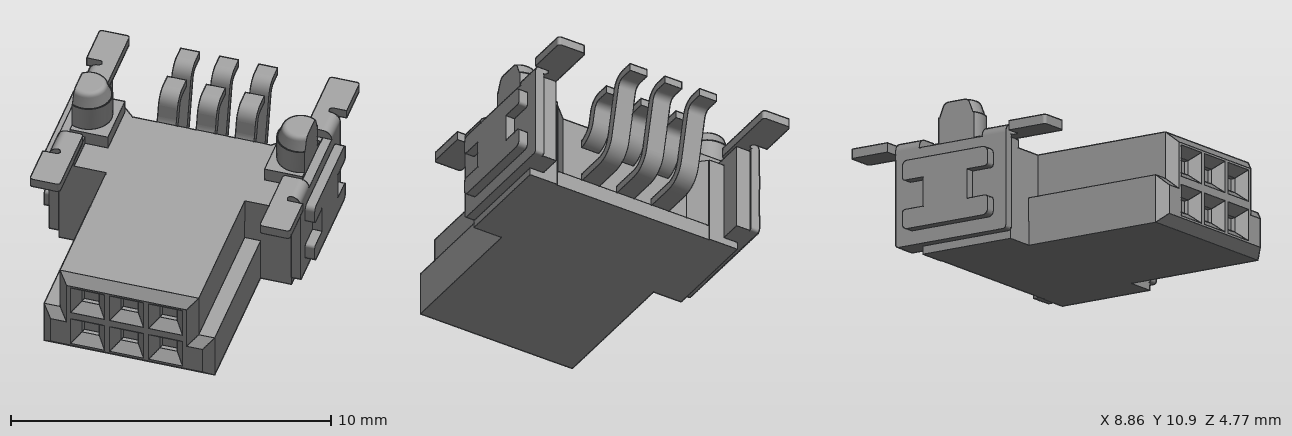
import cadquery as cq
import math


plug_half_width = 2.79
plug_top_half_width = 2.27
plug_shoulder = 1.54
plug_chamfer = 0.3

body_half_width = 3.8
body_top = 3.04
body_front = 5.13
body_rear = 8.47
front_draft = 0.03
side_rail_inner = 3.31
side_rail_top = 3.3
ear_rear = 9.22
rear_setback = 0.03

contact_pitch = 1.28
lower_row_height = 0.88
row_heights = (lower_row_height, lower_row_height + contact_pitch)
column_places = (-contact_pitch, 0, contact_pitch)
mouth_size = (1.11, 1.01)
throat_size = (0.57, 0.47)
socket_size = (0.48, 0.4)
funnel_depth = 0.33
throat_depth = 0.11

recess_wall = 7.95
recess_floor = 0.55
trough_rear = 8.32
trough_floor = 0.3

peg_top = 4.77
peg_centre = (3.47, 7.19)
peg_radius = 0.75
peg_shoulder = 4.32
peg_cone_base_radius = 0.72
peg_cone_end = 4.65
peg_cone_end_radius = 0.6
peg_tip_radius = 0.45
seat_inner = 2.56
seat_length = 1.79
seat_top = 3.49

plate_thickness = 0.3
plate_outer = body_half_width + plate_thickness
plate_centre = 7.19
plate_length = 4.2
plate_bottom = 0.26
plate_corner_radius = 0.11
tab_top = 3.67
tab_bottom = tab_top - plate_thickness
tab_inner = 3.27
tab_outer = 4.25
tab_span = 7.41
tab_gap = 2.4
tab_corner_radius = 0.1
notch_width = 0.22
notch_end = 3.72

pad_outer = 4.43
pad_length = 3.25
pad_bottom = 0.72
pad_top = 2.93
pad_web_length = 1.68
pad_flange = 0.63
pad_outer_radius = 0.19
pad_inner_radius = 0.11

lead_width = 0.62
lead_thickness = 0.26
lead_lean = math.radians(13.3)
lead_foot_length = 0.43
lead_foot_radius = 0.4
lead_entry_radius = 0.68
lead_entry_rise = 0.16
rear_row_tip = 10.82
front_row_tip = 9.42
lead_buried_length = 0.33
lead_end = recess_wall - lead_buried_length


def box(x_range, y_range, z_range):
    """Box between the given limits."""
    size = [high - low for low, high in (x_range, y_range, z_range)]
    corner = (x_range[0], y_range[0], z_range[0])
    return cq.Workplane("XY").box(*size, centered=False).translate(corner)


def make_plug():
    """Stepped plug, bevelled all around its front face."""
    outline = [
        (-plug_half_width, 0),
        (plug_half_width, 0),
        (plug_half_width, plug_shoulder),
        (plug_top_half_width, plug_shoulder),
        (plug_top_half_width, body_top),
        (-plug_top_half_width, body_top),
        (-plug_top_half_width, plug_shoulder),
        (-plug_half_width, plug_shoulder),
    ]
    plug = cq.Workplane("XZ").polyline(outline).close().extrude(-recess_wall)
    return plug.faces("<Y").chamfer(plug_chamfer)


def make_housing():
    """Housing block with raised sides, rear ears and a slightly drafted front."""
    outline = [
        (-body_half_width, 0),
        (body_half_width, 0),
        (body_half_width, side_rail_top),
        (side_rail_inner, side_rail_top),
        (side_rail_inner, body_top),
        (-side_rail_inner, body_top),
        (-side_rail_inner, side_rail_top),
        (-body_half_width, side_rail_top),
    ]
    length = body_rear - body_front
    block = cq.Workplane("XZ", origin=(0, body_front, 0)).polyline(outline).close().extrude(-length)
    draft = (
        cq.Workplane("YZ")
        .polyline([
            (body_front, 0),
            (body_front + front_draft, side_rail_top),
            (body_front, side_rail_top),
        ])
        .close()
        .extrude(body_half_width, both=True)
    )
    block = block.cut(draft)
    for inner, outer in ((side_rail_inner, body_half_width), (-body_half_width, -side_rail_inner)):
        block = block.union(box((inner, outer), (body_rear, ear_rear), (plate_bottom, side_rail_top)))
    return block


def make_rear_recess():
    """Recess flaring towards the rear, with a deeper trough along its wall and a set-back rear face."""
    flare = body_rear - recess_wall
    recess = (
        cq.Workplane("XY", origin=(0, 0, recess_floor))
        .polyline([
            (-plug_top_half_width, recess_wall),
            (plug_top_half_width, recess_wall),
            (plug_top_half_width + flare, body_rear),
            (-plug_top_half_width - flare, body_rear),
        ])
        .close()
        .extrude(side_rail_top - recess_floor)
    )
    trough = box(
        (-plug_top_half_width, plug_top_half_width),
        (recess_wall, trough_rear),
        (trough_floor, recess_floor),
    )
    setback = box(
        (-plug_half_width, plug_half_width),
        (body_rear - rear_setback, body_rear),
        (0, side_rail_top),
    )
    return recess.union(trough).union(setback)


def make_contact_opening(x, z):
    """Funnel and narrow throat of one contact."""
    funnel = (
        cq.Workplane("XZ", origin=(x, 0, z))
        .rect(*mouth_size)
        .workplane(offset=-funnel_depth)
        .rect(*throat_size)
        .loft(ruled=True)
    )
    throat = (
        cq.Workplane("XZ", origin=(x, funnel_depth, z))
        .rect(*throat_size)
        .workplane(offset=-throat_depth)
        .rect(*socket_size)
        .loft(ruled=True)
    )
    return funnel.union(throat)


def make_peg():
    """Tapered, round-tipped peg on a square seat, cut flat along the housing side."""
    peg = (
        cq.Workplane("XZ")
        .moveTo(0, body_top)
        .lineTo(peg_radius, body_top)
        .lineTo(peg_radius, peg_shoulder)
        .lineTo(peg_cone_base_radius, peg_shoulder)
        .lineTo(peg_cone_end_radius, peg_cone_end)
        .tangentArcPoint((peg_tip_radius, peg_top), relative=False)
        .lineTo(0, peg_top)
        .close()
        .revolve(360, (0, 0), (0, 1))
        .translate((*peg_centre, 0))
    )
    seat_range = (peg_centre[1] - seat_length / 2, peg_centre[1] + seat_length / 2)
    seat = box((seat_inner, body_half_width), seat_range, (body_top, seat_top))
    trim = box((0, body_half_width), seat_range, (0, peg_top))
    return peg.intersect(trim).union(seat)


def make_tab():
    """Rear solder tab with its bend and its notch, at the +X side."""
    tab_end = plate_centre + tab_span / 2
    tab_start = plate_centre + tab_gap / 2
    bend_end = plate_centre + plate_length / 2
    notch_rear = bend_end + notch_width
    notch_half = notch_width / 2
    heights = (tab_bottom, tab_top)

    bend = (
        cq.Workplane("XZ", origin=(0, tab_start, 0))
        .moveTo(tab_inner, tab_bottom)
        .lineTo(plate_outer, tab_bottom)
        .radiusArc((body_half_width, tab_top), -plate_thickness)
        .lineTo(tab_inner, tab_top)
        .close()
        .extrude(tab_start - bend_end)
    )
    bend = bend.edges("|Z and <X and <Y").fillet(tab_corner_radius)
    foot = box((tab_inner, tab_outer), (bend_end, tab_end), heights)
    foot = foot.edges("|Z and >Y").fillet(tab_corner_radius)
    notch_centre = notch_end + notch_half
    notch = box((notch_centre, tab_outer), (bend_end, notch_rear), heights)
    notch_round = (
        cq.Workplane("XY", origin=(notch_centre, bend_end + notch_half, tab_bottom))
        .circle(notch_half)
        .extrude(plate_thickness)
    )
    return foot.cut(notch).cut(notch_round).union(bend)


def make_side_plate():
    """Upright plate with two solder tabs and an I-shaped pad, at the +X side."""
    half_length = plate_length / 2
    plate = box(
        (body_half_width, plate_outer),
        (plate_centre - half_length, plate_centre + half_length),
        (plate_bottom, tab_bottom),
    )
    plate = plate.edges("|X and <Z").fillet(plate_corner_radius)

    rear_tab = make_tab()
    front_tab = rear_tab.mirror("XZ", (0, plate_centre, 0))
    return plate.union(rear_tab).union(front_tab).union(make_pad())


def make_pad():
    """I-shaped pad made of two rounded flanges and a web."""
    thickness = (plate_outer, pad_outer)
    flange_range = (plate_centre - pad_length / 2, plate_centre + pad_length / 2)
    web_range = (plate_centre - pad_web_length / 2, plate_centre + pad_web_length / 2)
    upper = box(thickness, flange_range, (pad_top - pad_flange, pad_top))
    upper = upper.edges("|X and >Z").fillet(pad_outer_radius)
    upper = upper.edges("|X and <Z").fillet(pad_inner_radius)
    lower = upper.mirror("XY", (0, 0, (pad_bottom + pad_top) / 2))
    web = box(thickness, web_range, (pad_bottom + pad_flange / 2, pad_top - pad_flange / 2))
    return web.union(upper).union(lower)


def make_lead(x, tip, row_height):
    """Bent lead: flat foot, bend, leaning leg, bend, straight end in the housing."""
    side = math.cos(lead_lean)
    rise = math.sin(lead_lean)
    foot_height = tab_top - lead_thickness / 2
    entry_height = row_height + lead_entry_rise

    def on_bend(centre, radius, angle):
        return (centre[0] + radius * math.cos(angle), centre[1] + radius * math.sin(angle))

    foot_centre = (tip - lead_foot_length, foot_height - lead_foot_radius)
    leg_top = (foot_centre[0] - lead_foot_radius * side, foot_centre[1] + lead_foot_radius * rise)
    leg_bottom_height = entry_height + lead_entry_radius * (1 - rise)
    leg_bottom = (
        leg_top[0] - (leg_top[1] - leg_bottom_height) * math.tan(lead_lean),
        leg_bottom_height,
    )
    entry_centre = (leg_bottom[0] - lead_entry_radius * side, entry_height + lead_entry_radius)

    half_turn = (math.pi / 2 - lead_lean) / 2
    path = (
        cq.Workplane("YZ", origin=(x, 0, 0))
        .moveTo(tip, foot_height)
        .lineTo(foot_centre[0], foot_height)
        .threePointArc(on_bend(foot_centre, lead_foot_radius, math.pi / 2 + half_turn), leg_top)
        .lineTo(*leg_bottom)
        .threePointArc(
            on_bend(entry_centre, lead_entry_radius, -math.pi / 2 + half_turn),
            (entry_centre[0], entry_height),
        )
        .lineTo(lead_end, entry_height)
    )
    section = cq.Workplane("XZ", origin=(x, tip, foot_height)).rect(lead_width, lead_thickness)
    return section.sweep(path)


result = make_housing().union(make_plug()).cut(make_rear_recess())

for column in column_places:
    for row in row_heights:
        result = result.cut(make_contact_opening(column, row))

side_parts = make_side_plate().union(make_peg())
result = result.union(side_parts).union(side_parts.mirror("YZ"))

for column in column_places:
    for row, tip in zip(row_heights, (rear_row_tip, front_row_tip)):
        result = result.union(make_lead(column, tip, row))